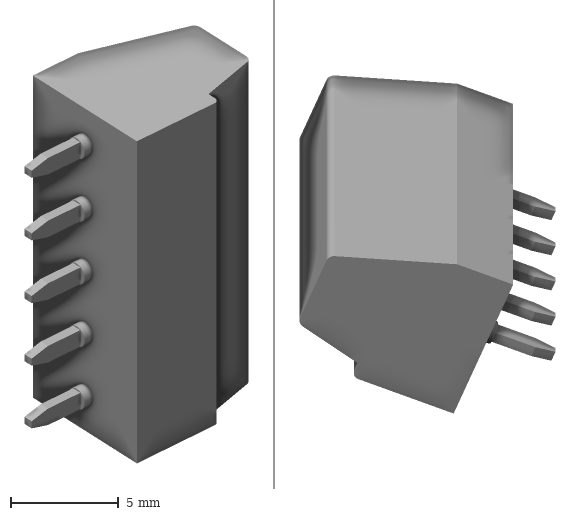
import cadquery as cq

housing_length = 18.0
housing_width = 7.3
housing_depth = 8.5
left_wall_depth = 2.8
shoulder_depth = 5.1
crown_left = 1.84
crown_right = 5.65
shoulder_inner = 6.55
crown_fillet = 0.4
shoulder_fillet = 0.29

pin_count = 5
first_pin_z = 2.0
pin_length = 3.51
collar_diameter = 1.1
collar_length = 0.5
blade_thickness = 0.5
blade_height = 0.92
tip_height = 0.4
taper_length = 1.0

pin_x = housing_width / 2
pin_pitch = (housing_length - 2 * first_pin_z) / (pin_count - 1)


def make_housing():
    """Terminal block body, with its pin face on the plane Y = 0."""
    body = (
        cq.Workplane("XY")
        .moveTo(0, 0)
        .lineTo(housing_width, 0)
        .lineTo(housing_width, shoulder_depth)
        .lineTo(shoulder_inner, shoulder_depth)
        .lineTo(crown_right, housing_depth)
        .lineTo(crown_left, housing_depth)
        .lineTo(0, left_wall_depth)
        .close()
        .extrude(housing_length)
    )
    body = body.faces(">Y").edges("|Z").fillet(crown_fillet)
    shoulder_edge = cq.selectors.NearestToPointSelector(
        (housing_width, shoulder_depth, housing_length / 2)
    )
    return body.edges(shoulder_edge).fillet(shoulder_fillet)


def make_pin(pin_z):
    """Pin pointing along -Y from the pin face, centred at height pin_z."""
    collar = (
        cq.Workplane("XZ")
        .center(pin_x, pin_z)
        .circle(collar_diameter / 2)
        .extrude(collar_length)
    )
    taper_start = -(pin_length - taper_length)
    blade = (
        cq.Workplane("YZ", origin=(pin_x, 0, pin_z))
        .moveTo(0, -blade_height / 2)
        .lineTo(taper_start, -blade_height / 2)
        .lineTo(-pin_length, -tip_height / 2)
        .lineTo(-pin_length, tip_height / 2)
        .lineTo(taper_start, blade_height / 2)
        .lineTo(0, blade_height / 2)
        .close()
        .extrude(blade_thickness / 2, both=True)
    )
    return collar.union(blade)


result = make_housing()
for pin_index in range(pin_count):
    result = result.union(make_pin(first_pin_z + pin_index * pin_pitch))